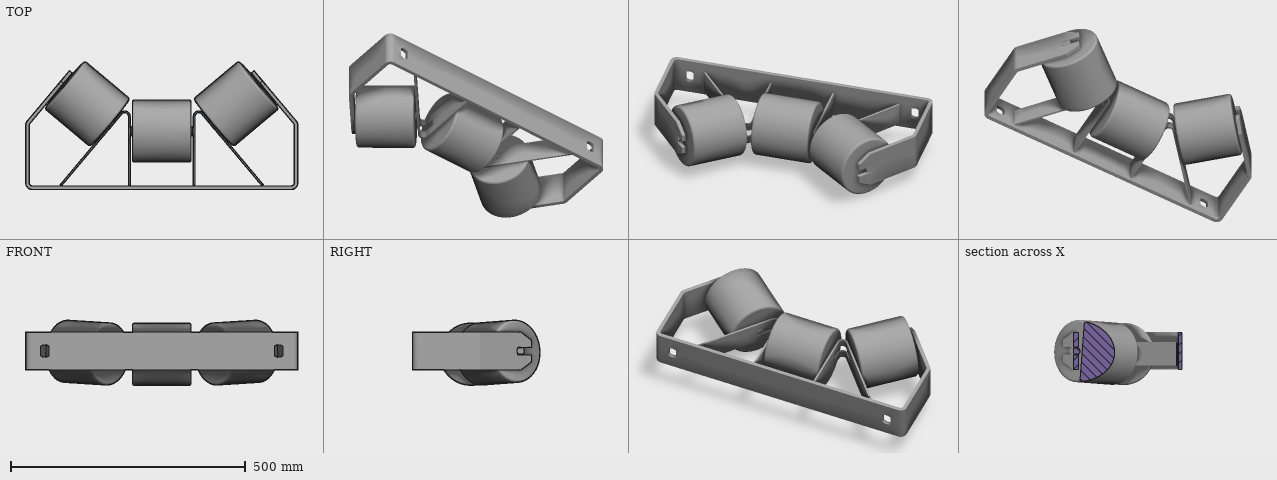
import cadquery as cq
import math

frame_width = 580.0
frame_height = 80.0
frame_z = 6.8
bar_thickness = 8.0
bar_bend_radius = 10.0
shoulder_y = 140.6
arm_length = 144.0
tip_chamfer_length = 29.0
tip_chamfer_angle = 30.0
mount_hole_spacing = 498.0
mount_hole_height = 26.5
mount_hole_width = 18.0

roller_diameter = 133.0
roller_length = 125.0
roller_edge_radius = 5.0
roller_side_gap = 4.5
middle_roller_y = 124.6
wing_angle = 40.0
wing_seat_setback = 29.8
shaft_diameter = 20.0
shaft_flat_width = 14.0
shaft_shoulder = 3.0

bracket_height = 50.0
bracket_thickness = 4.0
bracket_bend_radius = 10.0
bracket_bend_top = 167.6

slot_width = 16.0
seat_diameter = 20.5

sin_wing = math.sin(math.radians(wing_angle))
cos_wing = math.cos(math.radians(wing_angle))
wing_half_turn = math.tan(math.radians(wing_angle / 2))

wall_x = -(frame_width - bar_thickness) / 2
arm_corner = (wall_x, shoulder_y)
arm_tip = (wall_x + arm_length * sin_wing, shoulder_y + arm_length * cos_wing)

leg_x = -(roller_length / 2 + roller_side_gap + bracket_thickness / 2)
bend_centre_y = bracket_bend_top - bracket_thickness / 2 - bracket_bend_radius
bracket_apex = (leg_x, bend_centre_y + bracket_bend_radius / wing_half_turn)
slant_drop = bracket_apex[1] - bar_thickness - bracket_thickness / 2 * sin_wing
slant_length = slant_drop / cos_wing
slant_end = (
    leg_x - slant_length * sin_wing,
    bracket_apex[1] - slant_length * cos_wing,
)

arm_seat = (
    arm_tip[0] - wing_seat_setback * sin_wing,
    arm_tip[1] - wing_seat_setback * cos_wing,
)
wing_span = (
    (bracket_apex[0] - arm_seat[0]) * cos_wing - (bracket_apex[1] - arm_seat[1]) * sin_wing
)
slant_seat = (arm_seat[0] + wing_span * cos_wing, arm_seat[1] - wing_span * sin_wing)
wing_centre_run = (wing_span + bar_thickness / 2 - bracket_thickness / 2) / 2
wing_centre = (
    arm_seat[0] + wing_centre_run * cos_wing,
    arm_seat[1] - wing_centre_run * sin_wing,
)
wing_rise = frame_z / wing_span
wing_tilt = math.degrees(math.atan(wing_rise))
wing_centre_z = (wing_span - wing_centre_run) * wing_rise


def bent_strip(corners, bend_radius, thickness, height, z):
    """Upright strip following the corners in plan, with rounded bends."""
    sharp_path = cq.Wire.makePolygon([cq.Vector(x, y, z) for x, y in corners])
    path = sharp_path.fillet2D(bend_radius, sharp_path.Vertices()[1:-1])
    start = cq.Vector(*corners[0], z)
    direction = cq.Vector(*corners[1], z) - start
    section = cq.Plane(origin=start, xDir=(0, 0, 1), normal=direction)
    return cq.Workplane(section).rect(height, thickness).sweep(cq.Workplane(path))


def shaft_slot(seat, angle, length, z):
    """Cutter for an open slot; its closed end is an arc around the shaft.

    The slot runs from the seat along the plan direction at this angle to X.
    """
    along = (math.cos(math.radians(angle)), math.sin(math.radians(angle)), 0)
    depth = 3 * bar_thickness
    plane = cq.Plane(
        origin=(*seat, z), xDir=along, normal=cq.Vector(*along).cross(cq.Vector(0, 0, 1))
    )
    channel = cq.Workplane(plane).center(length / 2, 0).rect(length, slot_width)
    channel = channel.extrude(depth / 2, both=True)
    seat_round = cq.Workplane(plane).circle(seat_diameter / 2).extrude(depth / 2, both=True)
    flats = cq.Workplane(plane).rect(seat_diameter, slot_width).extrude(depth / 2, both=True)
    return channel.union(seat_round.intersect(flats))


def mirrored(shape):
    return shape.mirror("YZ")


def tip_corner_cutter(side):
    """Wedge that chamfers the upper (side 1) or lower (side -1) corner of the arm tip."""
    plane = cq.Plane(
        origin=(*arm_tip, frame_z),
        xDir=(-sin_wing, -cos_wing, 0),
        normal=(cos_wing, -sin_wing, 0),
    )
    edge = frame_height / 2
    drop = tip_chamfer_length * math.tan(math.radians(tip_chamfer_angle))
    wedge = cq.Workplane(plane).polyline(
        [(0, side * edge), (tip_chamfer_length, side * edge), (0, side * (edge - drop))]
    )
    return wedge.close().extrude(bar_thickness, both=True)


def make_frame():
    left = [arm_tip, arm_corner, (wall_x, bar_thickness / 2)]
    right = [(-x, y) for x, y in reversed(left)]
    frame = bent_strip(left + right, bar_bend_radius, bar_thickness, frame_height, frame_z)
    slot = shaft_slot(arm_seat, 90 - wing_angle, 2 * wing_seat_setback, frame_z)
    for cutter in (slot, tip_corner_cutter(1), tip_corner_cutter(-1)):
        frame = frame.cut(cutter).cut(mirrored(cutter))
    return frame.cut(mount_holes())


def mount_holes():
    """Round holes with flat sides through the front wall."""
    plane = cq.Workplane("XZ", origin=(0, 0, frame_z))
    places = [(-mount_hole_spacing / 2, 0), (mount_hole_spacing / 2, 0)]
    rounds = plane.pushPoints(places).circle(mount_hole_height / 2)
    rounds = rounds.extrude(bar_thickness, both=True)
    flats = plane.pushPoints(places).rect(mount_hole_width, mount_hole_height)
    return rounds.intersect(flats.extrude(bar_thickness, both=True))


def make_bracket():
    corners = [(leg_x, bar_thickness), bracket_apex, slant_end]
    bracket = bent_strip(corners, bracket_bend_radius, bracket_thickness, bracket_height, 0)
    straight_seat = (leg_x, middle_roller_y)
    straight_slot = shaft_slot(straight_seat, 90, bracket_apex[1] - middle_roller_y, 0)
    slant_slot = shaft_slot(slant_seat, 90 - wing_angle, math.dist(slant_seat, bracket_apex), 0)
    return bracket.cut(straight_slot).cut(slant_slot)


def make_roller(left_reach, right_reach):
    """Roller centred on the origin along X, with a flatted shaft reaching out of both ends."""
    half_length = roller_length / 2
    roller = cq.Workplane("YZ", origin=(-half_length, 0, 0)).circle(roller_diameter / 2)
    roller = roller.extrude(roller_length).faces("<X or >X").edges().fillet(roller_edge_radius)
    shoulder_half = half_length + shaft_shoulder
    shoulder = cq.Workplane("YZ").circle(shaft_diameter / 2).extrude(shoulder_half, both=True)
    shaft = cq.Workplane("YZ", origin=(-left_reach, 0, 0)).circle(shaft_diameter / 2)
    shaft = shaft.extrude(left_reach + right_reach)
    flats = cq.Workplane("XY").box(
        2 * max(left_reach, right_reach), shaft_diameter, shaft_flat_width
    )
    return roller.union(shoulder).union(shaft.intersect(flats))


frame = make_frame()
left_bracket = make_bracket()
brackets = [left_bracket, mirrored(left_bracket)]

middle_reach = roller_length / 2 + roller_side_gap + bracket_thickness
middle_roller = make_roller(middle_reach, middle_reach).translate((0, middle_roller_y, 0))

arm_reach = wing_centre_run + bar_thickness / 2
leg_reach = wing_span + bracket_thickness / 2 - wing_centre_run
wing_roller = make_roller(arm_reach, leg_reach)
wing_roller = wing_roller.rotate((0, 0, 0), (0, 1, 0), wing_tilt)
wing_roller = wing_roller.rotate((0, 0, 0), (0, 0, 1), -wing_angle)
wing_roller = wing_roller.translate((*wing_centre, wing_centre_z))
rollers = [wing_roller, middle_roller, mirrored(wing_roller)]

bodies = [frame, *brackets, *rollers]
result = cq.Compound.makeCompound([solid for body in bodies for solid in body.solids().vals()])